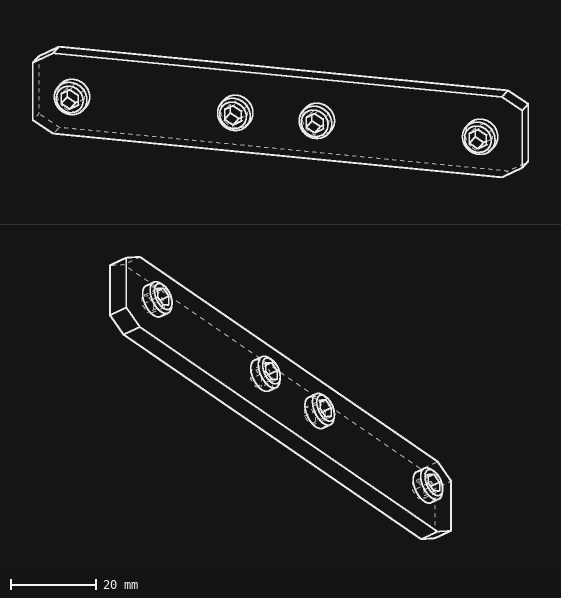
import cadquery as cq

plate_length = 120.0
plate_height = plate_length / 6
plate_thickness = plate_length / 24
corner_length = plate_thickness
corner_height = 2.9

head_diameter = plate_height * 0.4
head_height = plate_height * 0.15
head_chamfer = 0.7
socket_across_corners = 4.8
socket_depth = 4.8
outer_spacing = plate_length * 5 / 6
inner_spacing = plate_length / 6
head_positions = [
    (side * spacing / 2, 0)
    for spacing in (outer_spacing, inner_spacing)
    for side in (-1, 1)
]


def make_plate():
    """Plate with bevelled corners, its front face on Y = 0."""
    half_length = plate_length / 2
    half_height = plate_height / 2
    outline = [
        (-half_length, corner_height - half_height),
        (corner_length - half_length, -half_height),
        (half_length - corner_length, -half_height),
        (half_length, corner_height - half_height),
        (half_length, half_height - corner_height),
        (half_length - corner_length, half_height),
        (corner_length - half_length, half_height),
        (-half_length, half_height - corner_height),
    ]
    return cq.Workplane("XZ").polyline(outline).close().extrude(-plate_thickness)


def make_heads():
    """Cylindrical heads with a chamfered front rim."""
    heads = cq.Workplane("XZ").pushPoints(head_positions).circle(head_diameter / 2).extrude(head_height)
    return heads.faces("<Y").edges().chamfer(head_chamfer)


def make_sockets():
    """Hexagon sockets with corners pointing up and down, cut from the head tops."""
    hexagon = cq.Sketch().regularPolygon(socket_across_corners / 2, 6, angle=0)
    top_plane = cq.Workplane("XZ", origin=(0, -head_height, 0))
    return top_plane.pushPoints(head_positions).placeSketch(hexagon).extrude(-socket_depth)


result = make_plate().union(make_heads()).cut(make_sockets())